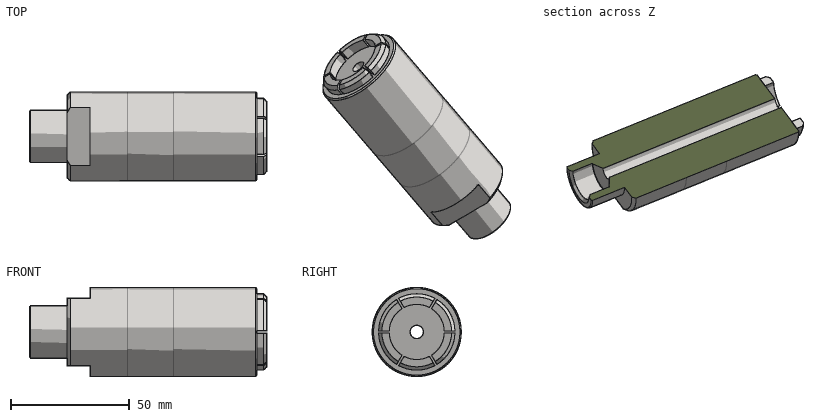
import cadquery as cq
import math

overall_length = 100.0
body_diameter = 37.6

spigot_diameter = 22.2
spigot_length = 15.8
spigot_chamfer = 0.45

front_joint_x = 41.3
rear_joint_x = 60.7
body_end_x = 95.8
front_face_diameter = 34.9
rear_chamfer = 0.6
front_chamfer = (body_diameter - front_face_diameter) / 2

flats_across = 28.6
flats_length = 9.7

ring_diameter = 32.2
ring_bore = 23.2
ring_chamfer = 1.4
slot_count = 6
slot_width = 1.0
ring_length = overall_length - body_end_x

countersink_diameter = 17.3
counterbore_diameter = 14.9
counterbore_depth = 10.6
cone_diameter = 13.9
through_diameter = 5.5
cone_angle = 118.0
countersink_depth = (countersink_diameter - counterbore_diameter) / 2
cone_length = (cone_diameter - through_diameter) / 2 / math.tan(math.radians(cone_angle / 2))


def cylinder(diameter, start_x, end_x):
    """Solid cylinder about the X axis between two X positions."""
    return cq.Workplane("YZ", origin=(start_x, 0, 0)).circle(diameter / 2).extrude(end_x - start_x)


def make_spigot():
    spigot = cylinder(spigot_diameter, 0, spigot_length)
    return spigot.faces("<X").chamfer(spigot_chamfer)


def make_body():
    front = cylinder(body_diameter, spigot_length, front_joint_x).faces("<X").chamfer(front_chamfer)
    middle = cylinder(body_diameter, front_joint_x, rear_joint_x)
    rear = cylinder(body_diameter, rear_joint_x, body_end_x).faces(">X").chamfer(rear_chamfer)
    return front.union(middle, clean=False).union(rear, clean=False)


def make_flat_cutter(side):
    """Block that removes one wrench flat; side is +1 for the top and -1 for the bottom."""
    block_height = body_diameter / 2
    block_z = side * (flats_across + block_height) / 2
    block = cq.Workplane("XY").box(flats_length, body_diameter, block_height)
    return block.translate((spigot_length + flats_length / 2, 0, block_z))


def make_slotted_ring():
    ring = cylinder(ring_diameter, body_end_x, overall_length).faces(">X").chamfer(ring_chamfer)
    ring = ring.cut(cylinder(ring_bore, body_end_x, overall_length))
    slot = cq.Workplane("XY").box(ring_length, ring_diameter, slot_width)
    slot = slot.translate((body_end_x + ring_length / 2, ring_diameter / 2, 0))
    for index in range(slot_count):
        angle = index * 360 / slot_count
        ring = ring.cut(slot.rotate((0, 0, 0), (1, 0, 0), angle))
    return ring


def make_bore():
    bore_profile = [
        (0, 0),
        (0, countersink_diameter / 2),
        (countersink_depth, counterbore_diameter / 2),
        (counterbore_depth, counterbore_diameter / 2),
        (counterbore_depth, cone_diameter / 2),
        (counterbore_depth + cone_length, through_diameter / 2),
        (overall_length, through_diameter / 2),
        (overall_length, 0),
    ]
    return cq.Workplane("XY").polyline(bore_profile).close().revolve(360, (0, 0, 0), (1, 0, 0))


body = make_body()
for flat_side in (1, -1):
    body = body.cut(make_flat_cutter(flat_side), clean=False)

result = (
    body.union(make_spigot(), clean=False)
    .union(make_slotted_ring(), clean=False)
    .cut(make_bore(), clean=False)
)